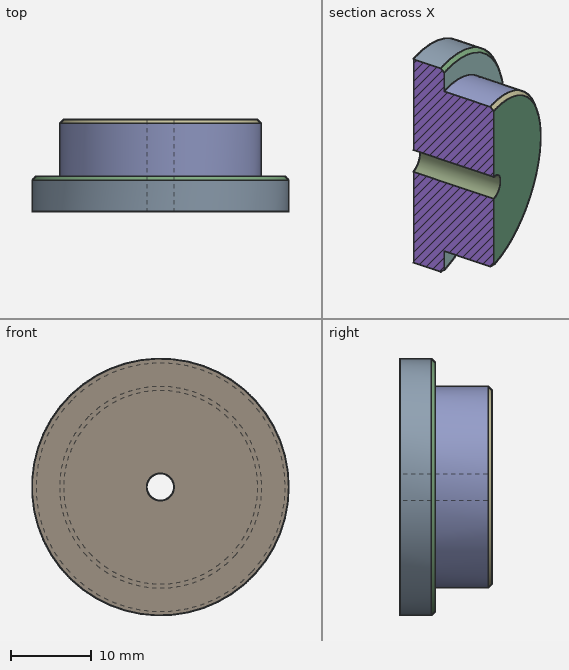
import cadquery as cq

flange_diameter = 31.8
flange_thickness = 4.4
hub_diameter = 25.0
total_length = 11.4
bore_diameter = 3.33
edge_chamfer = 0.5

hub_length = total_length - flange_thickness


def disc(diameter, length, start_y):
    """Disc along +Y from start_y, with its far rim chamfered."""
    return (
        cq.Workplane("XZ", origin=(0, start_y, 0))
        .circle(diameter / 2)
        .extrude(-length)
        .faces(">Y")
        .edges()
        .chamfer(edge_chamfer)
    )


flange = disc(flange_diameter, flange_thickness, 0)
hub = disc(hub_diameter, hub_length, flange_thickness)

bore = cq.Workplane("XZ").circle(bore_diameter / 2).extrude(-total_length)

result = flange.union(hub).cut(bore)